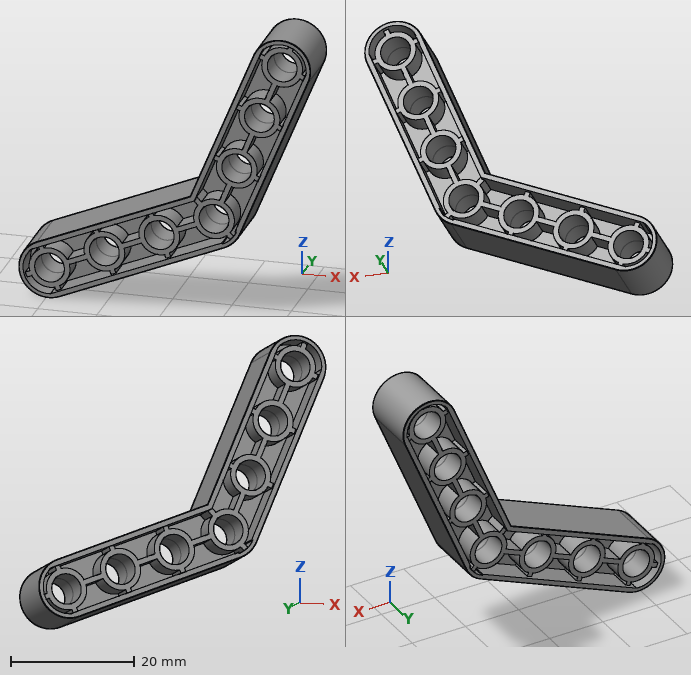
import cadquery as cq
import math

overall_length = 49.2
thickness = 10.0
holes_per_leg = 4
leg_angles = (202.5, 67.5)

end_radius = thickness / 2
hole_diameter = 5.0
boss_diameter = 6.9
end_wall = 0.75
side_wall = 0.95
core_recess = 0.8
rib_width = 0.9
web = 0.75
edge_chamfer = 0.1

center_span = overall_length - 2 * end_radius
short_angle = math.radians(90 - leg_angles[1])
leg_length = center_span / (math.cos(short_angle) + math.sin(short_angle))
pitch = leg_length / (holes_per_leg - 1)
core_thickness = thickness - 2 * core_recess
bisector_angle = sum(leg_angles) / len(leg_angles)
half_elbow = math.radians(leg_angles[0] - leg_angles[1]) / 2

elbow_x = center_span / 2 - leg_length * math.sin(short_angle)
elbow_z = -elbow_x


def point_along(angle, distance):
    """Point in the XZ plane at a distance from the elbow hole centre."""
    turn = math.radians(angle)
    return elbow_x + distance * math.cos(turn), elbow_z + distance * math.sin(turn)


def extrude_mid(sketch, depth):
    """Extrude a workplane outline evenly about the Y = 0 plane."""
    return sketch.extrude(depth / 2, both=True)


def bar(center, length, width, angle, depth):
    """Rectangular bar whose length runs at an angle in the XZ plane."""
    return extrude_mid(
        cq.Workplane("XZ").center(*center).transformed(rotate=(0, 0, angle)).rect(length, width), depth
    )


def disc(center, radius, depth):
    return extrude_mid(cq.Workplane("XZ").center(*center).circle(radius), depth)


def bent_beam(radius, depth):
    """Two round-ended legs of the given half-width that meet at the elbow."""
    body = disc(point_along(0, 0), radius, depth)
    for angle in leg_angles:
        middle = point_along(angle, leg_length / 2)
        body = body.union(bar(middle, leg_length, 2 * radius, angle, depth))
        body = body.union(disc(point_along(angle, leg_length), radius, depth))
    return body.clean()


def mitred_strip(half_width, depth):
    """Two straight strips along the legs, square at the ends and mitred at the elbow."""
    reach = leg_length + end_radius
    mitre = half_width / math.sin(half_elbow)
    corner_distance = math.hypot(reach, half_width)
    corner_turn = math.degrees(math.atan2(half_width, reach))
    first, second = leg_angles
    corners = [
        point_along(bisector_angle, mitre),
        point_along(first - corner_turn, corner_distance),
        point_along(first + corner_turn, corner_distance),
        point_along(bisector_angle, -mitre),
        point_along(second - corner_turn, corner_distance),
        point_along(second + corner_turn, corner_distance),
    ]
    return extrude_mid(cq.Workplane("XZ").polyline(corners).close(), depth)


def elbow_sector(radius, depth):
    """Disc sector on the outside of the elbow, between the perpendiculars to the two legs."""
    first, second = leg_angles
    corners = [
        point_along(0, 0),
        point_along(second - 90, end_radius),
        point_along(bisector_angle, -end_radius / math.sin(half_elbow)),
        point_along(first + 90, end_radius),
    ]
    kite = extrude_mid(cq.Workplane("XZ").polyline(corners).close(), depth)
    return kite.intersect(disc(point_along(0, 0), radius, depth))


def cavity(depth):
    """Space inside the rim wall, which is thicker along the straight sides than around the curves."""
    curve_radius = end_radius - end_wall
    legs = bent_beam(curve_radius, depth).intersect(mitred_strip(end_radius - side_wall, depth))
    return legs.union(elbow_sector(curve_radius, depth))


hole_centers = [point_along(0, 0)]
for leg_angle in leg_angles:
    hole_centers += [point_along(leg_angle, step * pitch) for step in range(1, holes_per_leg)]


def inner_structure():
    """Hole bosses and the ribs that tie them to each other and to the rim wall."""
    rib_span = 2 * end_radius
    parts = bar(point_along(0, 0), rib_span, rib_width, bisector_angle, core_thickness)
    for angle in leg_angles:
        length = leg_length + end_radius
        parts = parts.union(bar(point_along(angle, length / 2), length, rib_width, angle, core_thickness))
        for step in range(1, holes_per_leg):
            center = point_along(angle, step * pitch)
            parts = parts.union(bar(center, rib_span, rib_width, angle + 90, core_thickness))
    for center in hole_centers:
        parts = parts.union(disc(center, boss_diameter / 2, core_thickness))
    return parts


outer = bent_beam(end_radius, thickness).faces("<Y or >Y").chamfer(edge_chamfer)
core = inner_structure().intersect(cavity(core_thickness)).union(cavity(web))

result = outer.cut(cavity(thickness)).union(core)
for hole_center in hole_centers:
    result = result.cut(disc(hole_center, hole_diameter / 2, thickness))